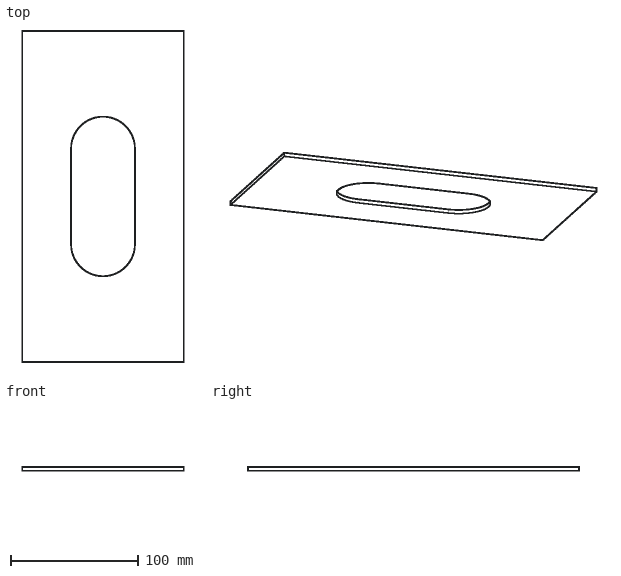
import cadquery as cq

plate_width = 127.0
plate_length = 260.0
plate_thickness = 3.0

slot_width = 50.0
slot_length = 125.0

plate = cq.Workplane("XY").box(plate_width, plate_length, plate_thickness)

result = plate.faces(">Z").workplane().slot2D(slot_length, slot_width, angle=90).cutThruAll()